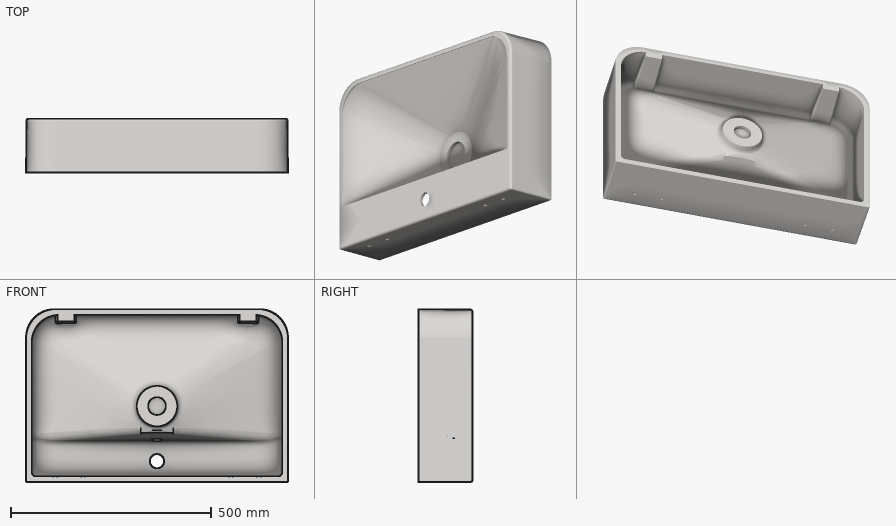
import cadquery as cq
import math


width = 654.71
height = 432.36
depth = 135.0
draft_angle = 0.5
top_corner_radius = 72.0
bottom_corner_radius = 4.0
rim_edge_radius = 6.0

side_wall = 14.3
inner_corner_radius = 70.0
ledge_thickness = 9.0
ledge_y = depth - ledge_thickness
cavity_fillet = 11.7
bowl_thickness = 10.0

drain_z = 190.0
boss_radius = 50.5
boss_flare_radius = 52.5
boss_flare_y = 10.0
flare_bulge = 0.65
drain_hole_diameter = 44.5
cover_radius = 35.0
cover_thickness = 10.0
cover_seat_y = 10.0

throat_radius = 61.0
throat_y = 20.0
floor_side_slope = 0.403
floor_top_slope = 0.61
floor_corner_radius = 60.0
floor_bottom_drop = 160.0
floor_overshoot = 14.0
throat_corner_angles = (22.5, 67.5)
throat_bottom_angle = -80.0

rear_wall_base_z = 101.0
rear_wall_lean = 13.0
ridge_radius = 24.0
ridge_end_x = 40.0
overflow_diameter = 27.0
overflow_y = 107.0

tap_hole_diameter = 35.0
tap_hole_z = 52.5

mounting_hole_diameter = 9.0
mounting_hole_y = 96.0
mounting_hole_x = (185.0, 254.0)

lug_x = 227.5
lug_width = 41.0
lug_bottom_z = 402.0
lug_draft = 3.0
lug_length = 120.0
lug_root = 1.0

wall_slope = math.tan(math.radians(rear_wall_lean))
clear = 2 * width
edge_tolerance = 0.1


def facing(y):
    """Sketch plane parallel to XZ at the given y, with local x along X and local y along Z."""
    return cq.Workplane("XZ", origin=(0, y, 0))


def arch(sketch_plane, half_width, bottom_z, top_z, radius):
    """Outline with a square bottom and rounded top corners."""
    cut = radius * (1 - math.sqrt(0.5))
    return (
        sketch_plane.moveTo(-half_width, bottom_z)
        .lineTo(half_width, bottom_z)
        .lineTo(half_width, top_z - radius)
        .threePointArc((half_width - cut, top_z - cut), (half_width - radius, top_z))
        .lineTo(radius - half_width, top_z)
        .threePointArc((cut - half_width, top_z - cut), (-half_width, top_z - radius))
        .close()
    )


def outer_outline(y, inset):
    """Outer shape of the basin at y, moved inwards on the sides and the top."""
    return arch(facing(y), width / 2 - inset, 0, height - inset, top_corner_radius - inset)


def inner_outline():
    """Inner faces of the four walls."""
    return arch(facing(0), width / 2 - side_wall, side_wall, height - side_wall, inner_corner_radius)


def disc(radius, y_start, y_end, z=drain_z):
    """Solid cylinder along Y."""
    return facing(y_start).center(0, z).circle(radius).extrude(y_start - y_end)


def throat_outline():
    """Throat circle split into six arcs that pair with the six edges of an arch outline."""

    def point(angle):
        turn = math.radians(angle)
        return (throat_radius * math.cos(turn), drain_z + throat_radius * math.sin(turn))

    right_half = (throat_bottom_angle, *throat_corner_angles)
    left_half = tuple(180 - angle for angle in reversed(right_half))
    stops = (left_half[-1] - 360, *right_half, *left_half)
    ring = facing(throat_y).moveTo(*point(stops[0]))
    for start, end in zip(stops, stops[1:]):
        ring = ring.threePointArc(point((start + end) / 2), point(end))
    return ring.close()


def above_rear_wall(offset):
    """Everything above the leaning rear wall, raised square to it by the offset."""
    base_z = rear_wall_base_z + offset / math.cos(math.radians(rear_wall_lean))
    low_y, high_y = -depth, 2 * depth
    profile = [
        (low_y, base_z + wall_slope * (ledge_y - low_y)),
        (high_y, base_z + wall_slope * (ledge_y - high_y)),
        (high_y, clear),
        (low_y, clear),
    ]
    return cq.Workplane("YZ", origin=(-clear / 2, 0, 0)).polyline(profile).close().extrude(clear)


def floor_funnel():
    """Space above the bowl floor: a ruled funnel that runs past the side walls and the ledge."""
    edge_y = ledge_y + floor_overshoot
    fall = edge_y - throat_y
    edge = arch(
        facing(edge_y),
        throat_radius + fall / floor_side_slope,
        drain_z - floor_bottom_drop,
        drain_z + throat_radius + fall / floor_top_slope,
        floor_corner_radius,
    )
    return cq.Workplane(cq.Solid.makeLoft([edge.val(), throat_outline().val()], True))


def bowl_underside():
    """Bowl seen as a solid: funnel over the rear wall, with the ridge between them rounded."""
    sharp = floor_funnel().intersect(above_rear_wall(0))
    middle = sharp.intersect(cq.Workplane().box(2 * ridge_end_x, clear, clear))
    beyond_end = cq.Workplane().box(clear, clear, clear).translate((clear / 2 + ridge_end_x, 0, 0))
    right = sharp.intersect(beyond_end)
    halfway_y = ledge_y / 2
    ridge_point = (throat_radius + halfway_y, halfway_y, rear_wall_base_z + wall_slope * halfway_y)
    right = right.edges(cq.NearestToPointSelector(ridge_point)).fillet(ridge_radius)
    return middle.union(right).union(right.mirror("YZ"))


def drain_boss():
    """Round boss with a flare that runs out into the bowl floor at the throat."""
    flare_width = throat_radius - boss_flare_radius
    flare_depth = throat_y - boss_flare_y
    flare_middle = (
        boss_flare_radius + (1 - flare_bulge) * flare_width,
        boss_flare_y + flare_bulge * flare_depth,
    )
    overlap_y = throat_y + bowl_thickness / 2
    profile = (
        cq.Workplane("XY")
        .lineTo(boss_radius, 0)
        .lineTo(boss_flare_radius, boss_flare_y)
        .threePointArc(flare_middle, (throat_radius, throat_y))
        .lineTo(throat_radius, overlap_y)
        .lineTo(0, overlap_y)
        .close()
    )
    return profile.revolve(360, (0, 0, 0), (0, 1, 0)).translate((0, 0, drain_z))


def outer_block():
    """Solid block with drafted sides, rounded bottom corners and a rounded rim edge."""
    rim_inset = depth * math.tan(math.radians(draft_angle))
    outlines = [outer_outline(0, 0).val(), outer_outline(depth, rim_inset).val()]
    block = cq.Workplane(cq.Solid.makeLoft(outlines, True))
    block = block.faces("<Z").edges("not |X").fillet(bottom_corner_radius)
    return block.faces(">Y").edges().fillet(rim_edge_radius)


def underside_cavity():
    """Open space under the basin, rounded where walls, ledge and bowl meet."""
    space = inner_outline().extrude(-ledge_y)
    space = space.cut(bowl_underside().union(drain_boss()))
    near_ledge_y = ledge_y - 2 * cavity_fillet
    beside_wall_x = width / 2 - 2 * side_wall
    below_top_z = height - side_wall - inner_corner_radius
    rounded = []
    for edge in space.edges().vals():
        box = edge.BoundingBox()
        full_depth = box.ymin < boss_flare_y and box.ymax > near_ledge_y
        bottom_corner = full_depth and box.zmax < 2 * side_wall
        at_wall = abs(box.xmin) > beside_wall_x or box.zmax > below_top_z
        on_ledge = box.ymin > ledge_y - edge_tolerance
        if bottom_corner or on_ledge or (box.ymin > near_ledge_y and at_wall):
            rounded.append(edge)
    return cq.Workplane(space.val().fillet(cavity_fillet, rounded))


def bowl_hollow():
    """Water side of the bowl, parallel to its underside and one wall thickness away."""
    floor_rise = bowl_thickness / math.cos(math.atan(floor_side_slope))
    inside_walls = inner_outline().extrude(-2 * depth)
    hollow = floor_funnel().translate((0, floor_rise, 0)).intersect(above_rear_wall(bowl_thickness))
    return hollow.intersect(inside_walls)


def lug(x):
    """Drafted block hanging from the top wall."""
    top_z = height - side_wall + lug_root
    block = facing(0).center(x, (lug_bottom_z + top_z) / 2).rect(lug_width, top_z - lug_bottom_z)
    return block.extrude(-lug_length, taper=-lug_draft)


def overflow_hole():
    """Hole through the rear wall, square to its surface."""
    wall_z = rear_wall_base_z + wall_slope * (ledge_y - overflow_y)
    normal = cq.Vector(0, wall_slope, 1).normalized()
    start = cq.Vector(0, overflow_y, wall_z) - normal * bowl_thickness
    return cq.Workplane(cq.Solid.makeCylinder(overflow_diameter / 2, 3 * bowl_thickness, start, normal))


def mounting_holes():
    """Two pairs of holes through the bottom wall."""
    spots = [(side * x, mounting_hole_y) for x in mounting_hole_x for side in (-1, 1)]
    return cq.Workplane("XY").pushPoints(spots).circle(mounting_hole_diameter / 2).extrude(2 * side_wall)


def basin():
    body = outer_block().cut(underside_cavity())
    for side in (-1, 1):
        body = body.union(lug(side * lug_x))
    body = body.cut(bowl_hollow())
    body = body.cut(disc(cover_radius, cover_seat_y, depth))
    body = body.cut(disc(drain_hole_diameter / 2, 0, cover_seat_y))
    body = body.cut(disc(tap_hole_diameter / 2, ledge_y - cavity_fillet, depth, tap_hole_z))
    return body.cut(overflow_hole()).cut(mounting_holes())


def drain_cover():
    return disc(cover_radius, cover_seat_y, cover_seat_y + cover_thickness)


result = cq.Compound.makeCompound([basin().val(), drain_cover().val()])